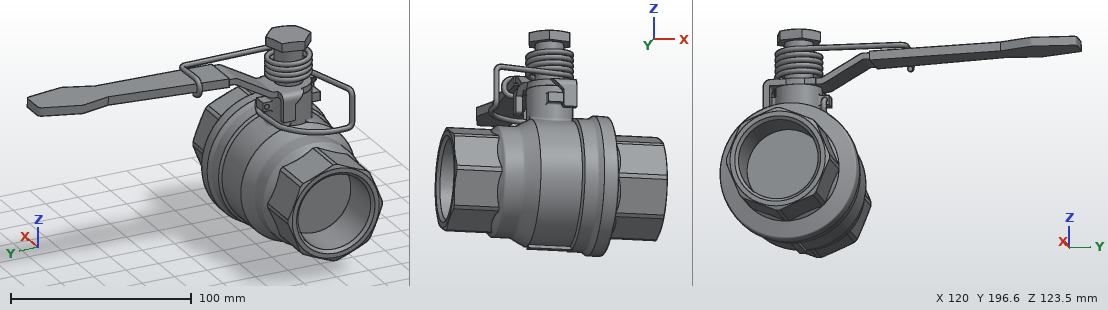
import cadquery as cq
import math


total_width = 120.0
total_depth = 196.6
total_height = 123.5

left_end = -59.0
right_end = left_end + total_width
octagon_flats = 54.7
octagon_corner_diameter = 58.2
end_face_diameter = 53.7
end_chamfer = 0.8
bore_diameter = 44.8
bore_mouth_diameter = 48.4
bore_mouth_depth = 1.8
bore_depth = 26.5

shoulder_diameter = 62.0
belly_diameter = 70.8
collar_diameter = 74.0
flange_diameter = 77.5
flange_rim_diameter = 77.0
shoulder_start = -31.3
shoulder_end = -20.5
belly_start = -12.2
belly_end = 11.2
collar_start = 12.4
collar_end = 20.3
flange_start = 23.0
flange_rim_start = 27.3
flange_end = 30.7
flange_cone_end = 33.0
octagon_blend = 1.5
shoulder_fillet = 2.0
body_fillet = 1.0
rib_height = 1.8
rib_width = 4.0

neck_diameter = 26.0
neck_fillet = 1.5
stem_diameter = 16.0
bolt_top = total_height - flange_diameter / 2
bolt_head_height = 5.5
bolt_head_flats = 22.5
bolt_head_turn = 18.0
bolt_head_chamfer = 0.4

lug_width = 8.3
lug_height = 5.3
lug_middle = 45.5
lug_reach = 17.7
lug_fillet = 0.8

sheet = 3.5
plate_diameter = 25.5
plate_bottom = 53.0
plate_top = plate_bottom + sheet
plate_middle = plate_bottom + sheet / 2
plate_half_width = 11.6
tab_reach = 17.9
tab_bottom = 40.5
tab_inner_edge = 4.3
tab_outer_edge = 11.8
tab_slope_start = 50.1
tab_corner = 1.2
sheet_bend = 2.4
arm_width = 21.2
arm_bend = 4.0
ramp_start = 15.1
ramp_end = 37.8
ramp_top = 67.8
grip_start = 41.9
grip_end = total_depth - flange_diameter / 2
grip_thickness = 5.1
grip_tilt = 2.0
grip_base_half = 11.2
grip_waist_half = 8.3
grip_wide_half = 13.5
grip_tip_half = 7.9
grip_waist = 115.2
grip_wide = 133.5
grip_tip_corner = 2.5
grip_wide_corner = 3.5

wire_diameter = 3.0
coil_radius = 11.8
whole_turns = 4
coil_bottom = 60.2
coil_top = 73.4
wire_bend = 3.1
upper_leg_tilt = 1.6
upper_leg_length = 61.4
hook_width = 23.0
hook_bend = 4.7
hook_bottom = 63.7
hook_tip_length = 5.5
lower_leg_tilt = 16.0
lower_leg_length = 39.3
low_wire_height = 38.0
low_wire_left = (-36.0, 1.0)
low_wire_back = (-16.7, 13.5)
low_wire_bow = 26.7
low_wire_ease = 11.8
low_wire_gap_y = 15.3
wire_tip_overhang = 0.2


def rounded_path(points, radii):
    """Wire of straight runs through the points, with an arc of the given radius at each inner one."""
    corners = [cq.Vector(*p) for p in points]
    edges = []
    start = corners[0]
    for before, corner, after, radius in zip(corners, corners[1:], corners[2:], radii):
        back = (before - corner).normalized()
        ahead = (after - corner).normalized()
        half_angle = back.getAngle(ahead) / 2
        setback = radius / math.tan(half_angle)
        arc_start = corner + back * setback
        arc_end = corner + ahead * setback
        middle_distance = radius / math.sin(half_angle) - radius
        arc_middle = corner + (back + ahead).normalized() * middle_distance
        edges.append(cq.Edge.makeLine(start, arc_start))
        edges.append(cq.Edge.makeThreePointArc(arc_start, arc_middle, arc_end))
        start = arc_end
    edges.append(cq.Edge.makeLine(start, corners[-1]))
    return cq.Wire.assembleEdges(edges)


def round_wire(points, radii):
    """Round spring wire along a rounded path."""
    start = cq.Vector(*points[0])
    direction = cq.Vector(*points[1]) - start
    section = cq.Workplane(cq.Plane(start, normal=direction)).circle(wire_diameter / 2)
    return section.sweep(cq.Workplane(rounded_path(points, radii)))


def along_x(outline):
    """Solid of revolution about X from (x, radius) points."""
    return cq.Workplane("XY").polyline(outline).close().revolve(360, (0, 0, 0), (1, 0, 0))


def z_cylinder(diameter, bottom, top):
    """Cylinder on the stem axis."""
    return cq.Workplane("XY", origin=(0, 0, bottom)).circle(diameter / 2).extrude(top - bottom)


def octagon_bar():
    across_corners = octagon_flats / math.cos(math.pi / 8)
    bar = cq.Workplane("YZ", origin=(left_end, 0, 0)).polygon(8, across_corners).extrude(total_width)
    face = end_face_diameter / 2
    corner = octagon_corner_diameter / 2
    turned = along_x([
        (left_end, 0),
        (left_end, face),
        (left_end + end_chamfer, corner),
        (right_end - end_chamfer, corner),
        (right_end, face),
        (right_end, 0),
    ])
    return bar.intersect(turned)


def turned_body():
    flat = octagon_flats / 2
    corner = octagon_corner_diameter / 2
    shoulder = shoulder_diameter / 2
    belly = belly_diameter / 2
    collar = collar_diameter / 2
    flange = flange_diameter / 2
    rim = flange_rim_diameter / 2
    blend_start = shoulder_start - octagon_blend - (corner - flat)
    body = along_x([
        (blend_start, 0),
        (blend_start, flat),
        (shoulder_start - octagon_blend, corner),
        (shoulder_start, shoulder),
        (shoulder_end, shoulder),
        (belly_start, belly),
        (belly_end, belly),
        (collar_start, collar),
        (collar_end, collar),
        (flange_start, flange),
        (flange_rim_start, flange),
        (flange_end, rim),
        (flange_cone_end, corner),
        (flange_cone_end + corner - flat, flat),
        (flange_cone_end + corner - flat, 0),
    ])
    for x, radius in (
        (shoulder_start, body_fillet),
        (shoulder_end, shoulder_fillet),
        (collar_end, body_fillet),
        (flange_end, body_fillet),
    ):
        body = body.edges(cq.NearestToPointSelector((x, 0, 0))).fillet(radius)
    return body


def bore(end, inward):
    """Blind pipe bore with a chamfered mouth, starting at the given end face."""
    return along_x([
        (end, 0),
        (end, bore_mouth_diameter / 2),
        (end + inward * bore_mouth_depth, bore_diameter / 2),
        (end + inward * bore_depth, bore_diameter / 2),
        (end + inward * bore_depth, 0),
    ])


def bottom_rib():
    depth = belly_diameter / 2 + rib_height
    length = collar_start - belly_start
    middle = (collar_start + belly_start) / 2
    return cq.Workplane("XY", origin=(middle, 0, -depth)).rect(length, rib_width).extrude(depth / 2)


def neck_foot():
    """Neck with a fillet where it meets the belly, kept within the belly's length."""
    foot_length = 2 * neck_diameter
    belly = (
        cq.Workplane("YZ", origin=(-foot_length / 2, 0, 0))
        .circle(belly_diameter / 2)
        .extrude(foot_length)
    )
    joined = belly.union(z_cylinder(neck_diameter, 0, plate_bottom))
    joint = cq.selectors.BoxSelector(
        (-neck_diameter, -neck_diameter, neck_diameter),
        (neck_diameter, neck_diameter, belly_diameter / 2 + neck_fillet),
        boundingbox=True,
    )
    middle = (belly_start + belly_end) / 2
    belly_zone = (
        cq.Workplane("XY", origin=(middle, 0, 0))
        .rect(belly_end - belly_start, foot_length)
        .extrude(plate_bottom)
    )
    return joined.edges(joint).fillet(neck_fillet).intersect(belly_zone)


def neck_with_lugs():
    """Stretch of the neck with a filleted sealing lug on the -Y and +Y sides."""
    ring = z_cylinder(neck_diameter, lug_middle - lug_height, lug_middle + lug_height)
    bar = cq.Workplane("XY").box(lug_width, 2 * lug_reach, lug_height).translate((0, 0, lug_middle))
    root_reach = (neck_diameter / 2 + lug_reach) / 2
    roots = cq.selectors.BoxSelector(
        (-lug_width, -root_reach, lug_middle - lug_height / 2 - lug_fillet),
        (lug_width, root_reach, lug_middle + lug_height / 2 + lug_fillet),
        boundingbox=True,
    )
    return ring.union(bar).edges(roots).fillet(lug_fillet)


def bolt_head():
    bottom = bolt_top - bolt_head_height
    corners = bolt_head_flats / math.cos(math.pi / 6)
    head = (
        cq.Workplane("XY", origin=(0, 0, bottom))
        .transformed(rotate=(0, 0, bolt_head_turn))
        .polygon(6, corners)
        .extrude(bolt_head_height)
    )
    crown = z_cylinder(corners, bottom, bolt_top).faces(">Z").chamfer(
        bolt_head_chamfer, (corners - bolt_head_flats) / 2
    )
    return head.intersect(crown)


def front_tab():
    """Sheet bent down on the -Y side, with its inner edge sloping back up to the plate."""
    tab_middle = tab_reach - sheet / 2
    blank_width = 4 * tab_outer_edge
    path = rounded_path(
        [(0, 0, plate_middle), (0, -tab_middle, plate_middle), (0, -tab_middle, tab_bottom)],
        [sheet_bend],
    )
    strip = (
        cq.Workplane("XZ", origin=(0, 0, plate_middle))
        .rect(blank_width, sheet)
        .sweep(cq.Workplane(path))
    )
    slope_run = plate_top - tab_slope_start
    outline = (
        cq.Workplane("XZ")
        .moveTo(tab_inner_edge, tab_bottom)
        .lineTo(tab_outer_edge, tab_bottom)
        .lineTo(tab_outer_edge, plate_top)
        .lineTo(tab_inner_edge - slope_run, plate_top)
        .lineTo(tab_inner_edge, tab_slope_start)
        .close()
        .extrude(tab_reach)
    )
    outline = outline.edges("|Y").edges("<Z").edges("<X").fillet(tab_corner)
    return strip.intersect(outline)


def lever_plate():
    disc = z_cylinder(plate_diameter, plate_bottom, plate_top)
    corner = (
        cq.Workplane("XY", origin=(0, 0, plate_bottom))
        .rect(plate_half_width, plate_half_width, centered=False)
        .extrude(sheet)
    )
    side_tab = front_tab().mirror("YZ").rotate((0, 0, 0), (0, 0, 1), -90)
    return disc.union(corner).union(front_tab()).union(side_tab)


def lever_arm():
    path = rounded_path(
        [
            (0, 0, plate_middle),
            (0, ramp_start, plate_middle),
            (0, ramp_end, ramp_top),
            (0, grip_start + sheet, ramp_top),
        ],
        [arm_bend, arm_bend],
    )
    return (
        cq.Workplane("XZ", origin=(0, 0, plate_middle))
        .rect(arm_width, sheet)
        .sweep(cq.Workplane(path))
    )


def lever_grip():
    half_outline = [
        (grip_base_half, grip_start),
        (grip_waist_half, grip_waist),
        (grip_wide_half, grip_wide),
        (grip_tip_half, grip_end),
    ]
    other_half = [(-x, y) for x, y in reversed(half_outline)]
    grip = (
        cq.Workplane("XY", origin=(0, 0, ramp_top - grip_thickness / 2))
        .polyline(half_outline + other_half)
        .close()
        .extrude(grip_thickness)
    )
    grip = grip.edges("|Z and >Y").fillet(grip_tip_corner)
    grip = grip.edges("|Z and (<X or >X)").fillet(grip_wide_corner)
    hinge = (0, grip_start, ramp_top)
    return grip.rotate(hinge, (1, grip_start, ramp_top), grip_tilt)


def coil():
    """Right-handed coil from the lower leg up to the upper leg."""
    start_angle = lower_leg_tilt - 90
    turns = whole_turns + (upper_leg_tilt - start_angle) / 360
    height = coil_top - coil_bottom
    helix = cq.Wire.makeHelix(height / turns, height, coil_radius)
    section = cq.Workplane("XZ", origin=(coil_radius, 0, 0)).circle(wire_diameter / 2)
    spring = section.sweep(cq.Workplane(helix), isFrenet=True)
    return spring.rotate((0, 0, 0), (0, 0, 1), start_angle).translate((0, 0, coil_bottom))


def upper_leg():
    """Straight leg along +Y that hooks over the lever grip."""
    hook_left = coil_radius - hook_width
    leg = round_wire(
        [
            (coil_radius, 0, coil_top),
            (coil_radius, upper_leg_length, coil_top),
            (hook_left, upper_leg_length, coil_top),
            (hook_left, upper_leg_length, hook_bottom),
            (hook_left + hook_tip_length, upper_leg_length, hook_bottom),
        ],
        [wire_bend, hook_bend, hook_bend],
    )
    return leg.rotate((0, 0, 0), (0, 0, 1), upper_leg_tilt)


def lower_leg():
    """Leg that drops beside the body, bows round the neck and ends in the +Y lug."""
    tilt = math.radians(lower_leg_tilt)
    start_x = coil_radius * math.sin(tilt)
    start_y = -coil_radius * math.cos(tilt)
    drop_x = start_x - lower_leg_length * math.cos(tilt)
    drop_y = start_y - lower_leg_length * math.sin(tilt)
    rise_x = lug_width / 2 + wire_diameter
    points = [
        (start_x, start_y, coil_bottom),
        (drop_x, drop_y, coil_bottom),
        (drop_x, drop_y, low_wire_height),
        (*low_wire_left, low_wire_height),
        (*low_wire_back, low_wire_height),
        (rise_x, low_wire_gap_y, low_wire_height),
        (rise_x, low_wire_gap_y, lug_middle),
        (-lug_width / 2 - wire_tip_overhang, low_wire_gap_y, lug_middle),
    ]
    return round_wire(points, [wire_bend, wire_bend, low_wire_bow, low_wire_ease, wire_bend, wire_diameter])


result = (
    turned_body()
    .union(z_cylinder(neck_diameter, 0, plate_bottom))
    .union(neck_foot())
    .union(octagon_bar())
    .union(bottom_rib())
    .union(neck_with_lugs())
    .union(z_cylinder(stem_diameter, 0, bolt_top - bolt_head_height))
    .union(bolt_head())
    .union(lever_plate())
    .union(lever_arm())
    .union(lever_grip())
    .union(lower_leg())
    .union(coil())
    .union(upper_leg())
    .cut(bore(left_end, 1))
    .cut(bore(right_end, -1))
)